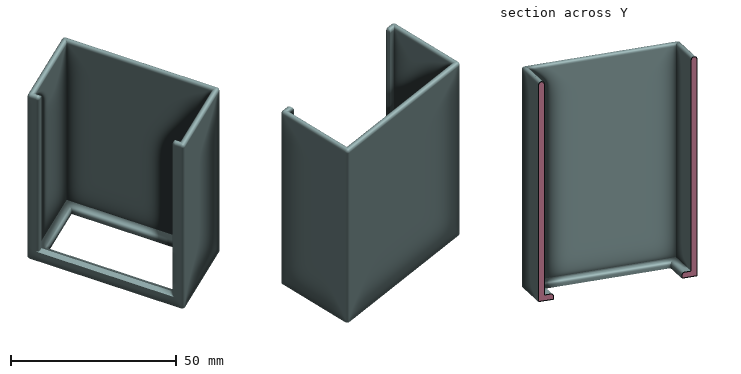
import cadquery as cq

width = 52.0
depth = 27.0
height = 72.0

wall = 2.0
floor_thickness = 2.0

post_width = 4.0
sill_height = 4.0
front_opening_width = width - 2 * post_width

floor_border = 5.0
floor_opening_width = width - 2 * floor_border
floor_opening_depth = depth - 2 * floor_border

rim_flat = 0.0002
rim_radius = (wall - rim_flat) / 2
floor_opening_radius = 1.0

margin = 0.01


def box_on(level, size_x, size_y, size_z):
    """Block centred in X and Y whose underside is at the given Z level."""
    block = cq.Workplane("XY").box(size_x, size_y, size_z, centered=(True, True, False))
    return block.translate((0, 0, level))


def make_shell():
    """Open-topped box with a thin floor."""
    outside = box_on(0, width, depth, height)
    cavity = box_on(floor_thickness, width - 2 * wall, depth - 2 * wall, height - floor_thickness)
    return outside.cut(cavity)


def cut_front_opening(body):
    """Open the front wall from the sill up, between the two posts."""
    opening = box_on(sill_height, front_opening_width, wall, height - sill_height)
    front_wall_y = -(depth - wall) / 2
    return body.cut(opening.translate((0, front_wall_y, 0)))


def cut_floor_opening(body):
    """Cut the rectangular hole through the floor and round its upper edges."""
    body = body.cut(box_on(0, floor_opening_width, floor_opening_depth, floor_thickness))
    reach_x = floor_opening_width / 2 + margin
    reach_y = floor_opening_depth / 2 + margin
    upper_edges = cq.selectors.BoxSelector(
        (-reach_x, -reach_y, floor_thickness - margin),
        (reach_x, reach_y, floor_thickness + margin),
    )
    return body.edges(upper_edges).fillet(floor_opening_radius)


def round_walls(body):
    """Round the top rim together with the upright edges on the front and back faces."""
    rim_edges = body.faces(">Z").edges()
    front_uprights = body.faces("<Y").edges("|Z")
    back_uprights = body.faces(">Y").edges("|Z")
    return rim_edges.add(front_uprights).add(back_uprights).fillet(rim_radius)


result = make_shell()
result = cut_front_opening(result)
result = cut_floor_opening(result)
result = round_walls(result)